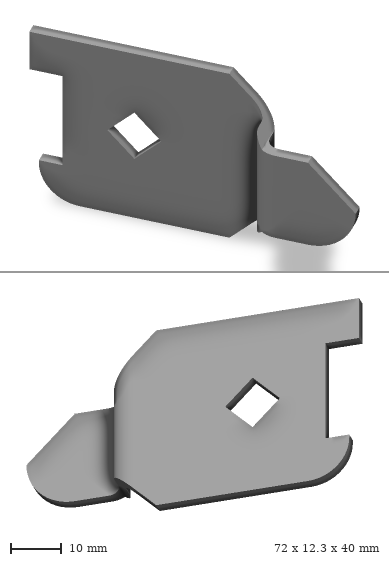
import cadquery as cq
import math

length = 72.0
offset_depth = 12.3
width = 40.0
thickness = 2.4

inner_radius = 2.95
outer_radius = inner_radius + thickness
first_bend_x = 46.8
web_back_x = first_bend_x + outer_radius
second_bend_x = web_back_x + inner_radius

half_width = width / 2
half_tongue = half_width / 2
shoulder_x = 42.0
shoulder_end_x = shoulder_x + half_width - half_tongue
tip_radius = half_tongue
tip_start_x = length - tip_radius
lug_height = 9.15
notch_x = 7.0
lower_lug_x = 2.0
lug_radius = 8.5

hole_x = 22.0
hole_side = 8.0
hole_diagonal = hole_side * math.sqrt(2)

arc_step = math.sqrt(0.5)


def bent_strip():
    """Full-width strip with the two opposite bends, back face at Y = 0."""
    front_y = -offset_depth
    first_center_y = -outer_radius
    second_center_y = front_y + outer_radius
    inner_step = inner_radius * arc_step
    outer_step = outer_radius * arc_step
    return (
        cq.Workplane("XY")
        .moveTo(0, 0)
        .lineTo(first_bend_x, 0)
        .threePointArc(
            (first_bend_x + outer_step, first_center_y + outer_step),
            (web_back_x, first_center_y),
        )
        .lineTo(web_back_x, second_center_y)
        .threePointArc(
            (second_bend_x - inner_step, second_center_y - inner_step),
            (second_bend_x, front_y + thickness),
        )
        .lineTo(length, front_y + thickness)
        .lineTo(length, front_y)
        .lineTo(second_bend_x, front_y)
        .threePointArc(
            (second_bend_x - outer_step, second_center_y - outer_step),
            (second_bend_x - outer_radius, second_center_y),
        )
        .lineTo(first_bend_x + inner_radius, first_center_y)
        .threePointArc(
            (first_bend_x + inner_step, first_center_y + inner_step),
            (first_bend_x, -thickness),
        )
        .lineTo(0, -thickness)
        .close()
        .extrude(half_width, both=True)
    )


def outline_prism():
    """Flat outline of the plate, extended through the whole offset depth."""
    lug_center_x = lower_lug_x + lug_radius
    lug_center_z = -half_width + lug_radius
    return (
        cq.Workplane("XZ")
        .moveTo(0, half_width)
        .lineTo(shoulder_x, half_width)
        .lineTo(shoulder_end_x, half_tongue)
        .lineTo(tip_start_x, half_tongue)
        .lineTo(length, 0)
        .threePointArc(
            (tip_start_x + tip_radius * arc_step, -tip_radius * arc_step),
            (tip_start_x, -half_tongue),
        )
        .lineTo(shoulder_end_x, -half_tongue)
        .lineTo(shoulder_x, -half_width)
        .lineTo(lug_center_x, -half_width)
        .threePointArc(
            (lug_center_x - lug_radius * arc_step, lug_center_z - lug_radius * arc_step),
            (lower_lug_x, lug_center_z),
        )
        .lineTo(lower_lug_x, -half_width + lug_height)
        .lineTo(notch_x, -half_width + lug_height)
        .lineTo(notch_x, half_width - lug_height)
        .lineTo(0, half_width - lug_height)
        .close()
        .extrude(offset_depth)
    )


def square_hole():
    """Four-sided cutter with its corners pointing along X and Z."""
    return (
        cq.Workplane("XZ")
        .center(hole_x, 0)
        .polygon(4, hole_diagonal)
        .extrude(thickness)
    )


result = bent_strip().intersect(outline_prism()).cut(square_hole())